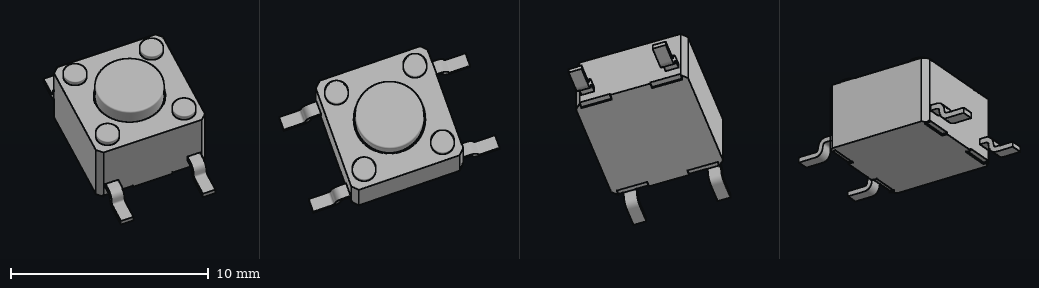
import cadquery as cq
import math


body_side = 6.0
body_height = 3.6
corner_chamfer = 0.3
half_side = body_side / 2

total_height = 4.3
button_diameter = 3.5
button_edge_radius = 0.1
clearance_diameter = 3.64
clearance_depth = 0.25
clearance_rim_radius = 0.08

rivet_diameter = 1.2
rivet_height = 0.3
rivet_edge_radius = 0.05
rivet_edge_gap = 0.3
rivet_offset = half_side - rivet_edge_gap - rivet_diameter / 2

relief_height = 0.1
relief_depth = 0.3
relief_inner_y = 1.08
relief_outer_y = half_side - corner_chamfer

lead_span = 10.0
lead_width = 0.7
lead_thickness = 0.3
lead_top = 1.0
lead_spacing = 4.5
lead_embed = 0.2
foot_length = 1.01
bend_inner_radius = 0.15
bend_angle = math.radians(80)


def make_body():
    """Block with chamfered upright corners."""
    block = cq.Workplane("XY").box(body_side, body_side, body_height, centered=(True, True, False))
    return block.edges("|Z").chamfer(corner_chamfer)


def cut_clearance(body):
    """Cut the round recess into the top face and round its rim."""
    recessed = body.faces(">Z").workplane().hole(clearance_diameter, clearance_depth)
    return recessed.faces(">Z").edges("%CIRCLE").fillet(clearance_rim_radius)


def make_button():
    """Round button standing on the floor of the clearance recess."""
    floor = body_height - clearance_depth
    return (
        cq.Workplane("XY")
        .workplane(offset=floor)
        .circle(button_diameter / 2)
        .extrude(total_height - floor)
        .faces(">Z")
        .edges()
        .fillet(button_edge_radius)
    )


def make_rivets():
    """Four rounded rivet heads on the top face."""
    return (
        cq.Workplane("XY")
        .workplane(offset=body_height)
        .rect(2 * rivet_offset, 2 * rivet_offset, forConstruction=True)
        .vertices()
        .circle(rivet_diameter / 2)
        .extrude(rivet_height)
        .faces(">Z")
        .edges()
        .fillet(rivet_edge_radius)
    )


def make_reliefs():
    """Blind cuts along the bottom edges of the -X and +X sides, one beside each corner."""
    relief_width = relief_outer_y - relief_inner_y
    center_x = half_side - relief_depth / 2
    center_y = (relief_outer_y + relief_inner_y) / 2
    return (
        cq.Workplane("XY")
        .rect(2 * center_x, 2 * center_y, forConstruction=True)
        .vertices()
        .rect(relief_depth, relief_width)
        .extrude(relief_height)
    )


def make_lead(center_y):
    """Gull-wing lead on the -X side: a strip swept along its centerline."""
    radius = bend_inner_radius + lead_thickness / 2
    arc_run = radius * math.sin(bend_angle)
    arc_rise = radius * (1 - math.cos(bend_angle))

    riser_rise = lead_top - lead_thickness - 2 * arc_rise
    riser_run = riser_rise / math.tan(bend_angle)

    foot_start_x = -lead_span / 2
    foot_z = lead_thickness / 2
    centerline = (
        cq.Workplane("XZ", origin=(0, center_y, 0))
        .moveTo(foot_start_x, foot_z)
        .line(foot_length, 0)
        .tangentArcPoint((arc_run, arc_rise))
        .line(riser_run, riser_rise)
        .tangentArcPoint((arc_run, arc_rise))
        .hLineTo(-half_side + lead_embed)
    )
    return (
        cq.Workplane("YZ", origin=(foot_start_x, center_y, foot_z))
        .rect(lead_width, lead_thickness)
        .sweep(centerline)
    )


result = cut_clearance(make_body()).cut(make_reliefs())
result = result.union(make_button()).union(make_rivets())
for lead_y in (-lead_spacing / 2, lead_spacing / 2):
    lead = make_lead(lead_y)
    result = result.union(lead).union(lead.mirror("YZ"))